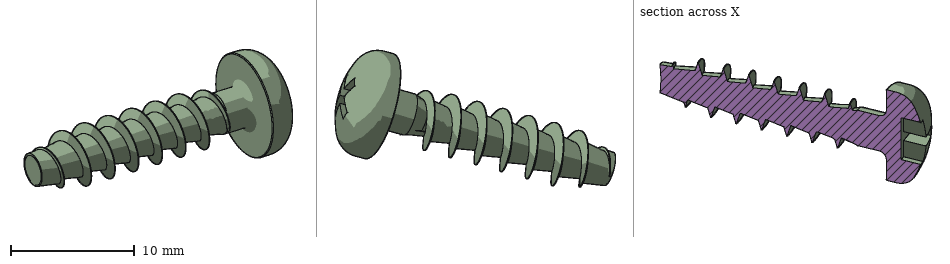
import cadquery as cq
import math


HEAD_RADIUS = 4.4
HEAD_HEIGHT = 3.365
RIM_HEIGHT = 0.92
RIM_CHAMFER = 0.08
SHOULDER_RADIUS = 1.76

WING_WIDTH = 0.86
WING_REACH = 2.0
RECESS_DEPTH = 2.0

SHANK_LENGTH = 20.0
NECK_RADIUS = 1.73
NECK_LENGTH = 2.53
NECK_FILLET = 0.62
NECK_TAPER_LENGTH = 1.1
CORE_RADIUS = 1.36
TIP_DISH_RADIUS = 1.28
TIP_DISH_DEPTH = 0.08

PITCH = 2.24
TURN_ZERO_Y = -2.055
CREST_RADIUS = 2.5
CREST_HALF_WIDTH = 0.035
FLANK_ANGLE = 17.0
LEAD_IN_START_RADIUS = 1.915
LEAD_IN_END_TURN = 1.14
LEAD_OUT_START_TURN = 6.5
LEAD_OUT_END_TURN = 7.95
LEAD_OUT_END_RADIUS = 1.35
TOOTH_BASE_RADIUS = 1.2

RAMP_START_RADIUS = 1.72
RAMP_END_RADIUS = 1.35
RAMP_LENGTH = 2.15
RAMP_BASE_RADIUS = 1.25
RAMP_FADE_START_TURN = 7.0
RAMP_FADE_END_TURN = 7.95

POINTS_PER_TURN = 24


def revolve_about_y(outline):
    """Full turn about the screw axis, with the seam on the +Z side."""
    turned = outline.revolve(360, (0, 0, 0), (0, 1, 0))
    return turned.rotate((0, 0, 0), (0, 1, 0), -90)


def make_head():
    """Pan head: chamfered rim, shoulder arc and a dome tangent to it."""
    shoulder_x = HEAD_RADIUS - SHOULDER_RADIUS
    dome_rise = HEAD_HEIGHT - RIM_HEIGHT
    dome_radius = (shoulder_x**2 + dome_rise**2 - SHOULDER_RADIUS**2) / (2 * (dome_rise - SHOULDER_RADIUS))
    dome_centre_y = HEAD_HEIGHT - dome_radius
    tangent_angle = math.atan2(RIM_HEIGHT - dome_centre_y, shoulder_x)

    def on_shoulder(angle):
        return (
            shoulder_x + SHOULDER_RADIUS * math.cos(angle),
            RIM_HEIGHT + SHOULDER_RADIUS * math.sin(angle),
        )

    def on_dome(angle):
        return (dome_radius * math.cos(angle), dome_centre_y + dome_radius * math.sin(angle))

    dome_mid_angle = (tangent_angle + math.pi / 2) / 2
    outline = (
        cq.Workplane("XY")
        .lineTo(HEAD_RADIUS - RIM_CHAMFER, 0)
        .lineTo(HEAD_RADIUS, RIM_CHAMFER)
        .lineTo(HEAD_RADIUS, RIM_HEIGHT)
        .threePointArc(on_shoulder(tangent_angle / 2), on_shoulder(tangent_angle))
        .threePointArc(on_dome(dome_mid_angle), (0, HEAD_HEIGHT))
        .close()
    )
    return revolve_about_y(outline)


def make_recess():
    """Cross recess with two crossed wings along X and Z."""
    wing = cq.Workplane("XY").box(2 * WING_REACH, 2 * RECESS_DEPTH, WING_WIDTH)
    crossed = wing.union(wing.rotate((0, 0, 0), (0, 1, 0), 90))
    return crossed.translate((0, HEAD_HEIGHT, 0))


def make_shank():
    """Neck with a fillet under the head, tapering to the core, and a shallow conical dish in the tip."""
    fillet_middle = NECK_FILLET * (1 - math.sqrt(0.5))
    outline = (
        cq.Workplane("XY")
        .lineTo(NECK_RADIUS + NECK_FILLET, 0)
        .threePointArc((NECK_RADIUS + fillet_middle, -fillet_middle), (NECK_RADIUS, -NECK_FILLET))
        .lineTo(NECK_RADIUS, -NECK_LENGTH)
        .lineTo(CORE_RADIUS, -NECK_LENGTH - NECK_TAPER_LENGTH)
        .lineTo(CORE_RADIUS, -SHANK_LENGTH)
        .lineTo(TIP_DISH_RADIUS, -SHANK_LENGTH)
        .lineTo(0, -SHANK_LENGTH + TIP_DISH_DEPTH)
        .close()
    )
    return revolve_about_y(outline)


def helix_point(turn, radius, advance):
    """Point on the thread helix, moved by `advance` along the axis towards the tip."""
    angle = 2 * math.pi * turn
    y = TURN_ZERO_Y - PITCH * turn - advance
    return cq.Vector(radius * math.sin(angle), y, -radius * math.cos(angle))


def helical_solid(start_turn, end_turn, start_profile, end_profile):
    """Solid swept along the helix while its profile of (radius, advance) points changes evenly."""
    steps = math.ceil((end_turn - start_turn) * POINTS_PER_TURN)
    rails = []
    for start, end in zip(start_profile, end_profile):
        points = []
        for step in range(steps + 1):
            share = step / steps
            turn = start_turn + share * (end_turn - start_turn)
            radius = start[0] + share * (end[0] - start[0])
            advance = start[1] + share * (end[1] - start[1])
            points.append(helix_point(turn, radius, advance))
        rails.append(cq.Edge.makeSpline(points))

    next_rails = rails[1:] + rails[:1]
    faces = [cq.Face.makeRuledSurface(rail, following) for rail, following in zip(rails, next_rails)]
    for at_end in (0, 1):
        corners = [rail.positionAt(at_end) for rail in rails]
        faces.append(cq.Face.makeFromWires(cq.Wire.makePolygon(corners, close=True)))
    return cq.Workplane(cq.Solid.makeSolid(cq.Shell.makeShell(faces)).fix())


def tooth_profile(crest_radius):
    """Symmetric tooth with a narrow flat crest; its base lies inside the core."""
    flank_run = (crest_radius - TOOTH_BASE_RADIUS) * math.tan(math.radians(FLANK_ANGLE))
    base_half_width = CREST_HALF_WIDTH + flank_run
    return [
        (TOOTH_BASE_RADIUS, -base_half_width),
        (crest_radius, -CREST_HALF_WIDTH),
        (crest_radius, CREST_HALF_WIDTH),
        (TOOTH_BASE_RADIUS, base_half_width),
    ]


def ramp_profile(start_radius):
    """Slope from inside one turn of the tooth to just below the core surface inside the next."""
    return [
        (RAMP_BASE_RADIUS, 0),
        (start_radius, 0),
        (RAMP_END_RADIUS, RAMP_LENGTH),
        (RAMP_BASE_RADIUS, RAMP_LENGTH),
    ]


def make_thread_pieces():
    """Lead-in, full and lead-out lengths of the tooth, and the full and fading ramp."""
    lead_in = tooth_profile(LEAD_IN_START_RADIUS)
    full_tooth = tooth_profile(CREST_RADIUS)
    lead_out = tooth_profile(LEAD_OUT_END_RADIUS)
    full_ramp = ramp_profile(RAMP_START_RADIUS)
    faded_ramp = ramp_profile(RAMP_END_RADIUS)
    return [
        helical_solid(0, RAMP_FADE_START_TURN, full_ramp, full_ramp),
        helical_solid(RAMP_FADE_START_TURN, RAMP_FADE_END_TURN, full_ramp, faded_ramp),
        helical_solid(0, LEAD_IN_END_TURN, lead_in, full_tooth),
        helical_solid(LEAD_IN_END_TURN, LEAD_OUT_START_TURN, full_tooth, full_tooth),
        helical_solid(LEAD_OUT_START_TURN, LEAD_OUT_END_TURN, full_tooth, lead_out),
    ]


def make_thread_zone():
    """Space between the end of the neck and the tip, to which the thread is trimmed."""
    zone = cq.Workplane("XZ").workplane(offset=NECK_LENGTH).circle(HEAD_RADIUS)
    return zone.extrude(SHANK_LENGTH - NECK_LENGTH)


screw = make_head().cut(make_recess()).union(make_shank())
thread_zone = make_thread_zone()
for piece in make_thread_pieces():
    screw = screw.union(piece.intersect(thread_zone))

result = screw.solids()